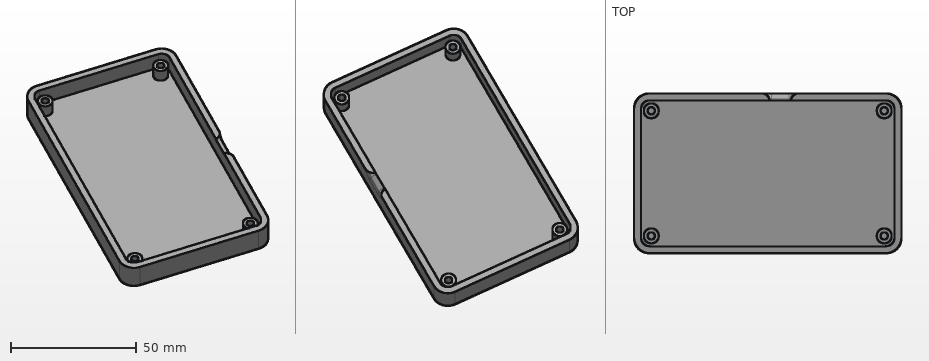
import cadquery as cq

length = 107.0
width = 64.0
height = 10.7
wall = 2.85
floor_thickness = 2.7
corner_radius = 6.3
inner_corner_radius = corner_radius - wall

boss_diameter = 6.0
boss_hole_diameter = 2.9
boss_height = 5.7
boss_spacing_x = 93.1
boss_spacing_y = 50.0

notch_center_x = 5.0
notch_flat_width = 7.0
notch_end_radius = 1.2
notch_depth = 0.27
notch_flare_radius = 2.8


def rounded_block(size_x, size_y, size_z, radius, base_z):
    """Upright block with rounded vertical corners, centred on the Z axis."""
    block = cq.Workplane("XY").workplane(offset=base_z).rect(size_x, size_y).extrude(size_z)
    return block.edges("|Z").fillet(radius)


def make_tray():
    """Open-topped shell with a flat floor."""
    outside = rounded_block(length, width, height, corner_radius, 0)
    cavity = rounded_block(
        length - 2 * wall,
        width - 2 * wall,
        height - floor_thickness,
        inner_corner_radius,
        floor_thickness,
    )
    return outside.cut(cavity)


def boss_cylinders(diameter):
    """One cylinder at each screw position, standing on the floor."""
    return (
        cq.Workplane("XY")
        .workplane(offset=floor_thickness)
        .rect(boss_spacing_x, boss_spacing_y, forConstruction=True)
        .vertices()
        .circle(diameter / 2)
        .extrude(boss_height)
    )


def notch_cutter():
    """Slot through the back wall that flares outwards to the outer face."""
    slot_center_z = height - notch_depth + notch_end_radius
    slot_length = notch_flat_width + 2 * notch_end_radius
    margin = 2 * notch_flare_radius
    segment_length = slot_length + 2 * margin
    segment_height = 2 * (notch_end_radius + margin)
    segment = cq.Workplane("XY").box(segment_length, wall, segment_height)
    pierced = (
        segment.faces(">Y")
        .workplane(centerOption="CenterOfBoundBox")
        .slot2D(slot_length, 2 * notch_end_radius)
        .cutThruAll()
    )
    mouth = pierced.faces(">Y").wires(cq.selectors.LengthNthSelector(0)).edges()
    flared = mouth.fillet(notch_flare_radius)
    cutter = segment.cut(flared)
    return cutter.translate((notch_center_x, (width - wall) / 2, slot_center_z))


tray = make_tray().union(boss_cylinders(boss_diameter))
result = tray.cut(boss_cylinders(boss_hole_diameter)).cut(notch_cutter())